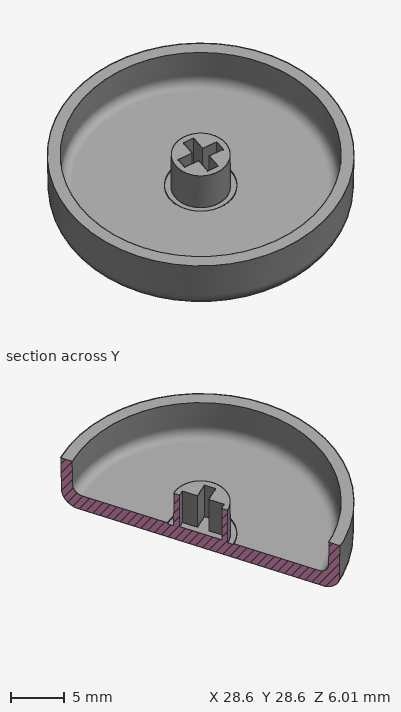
import cadquery as cq

rim_diameter = 28.65
bottom_diameter = 25.52
shoulder_diameter = 28.5
shoulder_height = 1.83
cap_height = 6.01
floor_thickness = 1.9
cavity_rim_diameter = 26.23
cavity_floor_diameter = 26.05
cavity_round = 1.0

stem_top_diameter = 5.5
stem_base_diameter = 5.58
groove_diameter = 6.75
groove_depth = 0.15

cross_length = 4.27
cross_width = 1.15

cavity_depth = cap_height - floor_thickness
groove_floor = floor_thickness - groove_depth


def cone(bottom_d, top_d, base_z, height):
    """Upright truncated cone on the Z axis."""
    return (
        cq.Workplane("XY")
        .workplane(offset=base_z)
        .circle(bottom_d / 2)
        .workplane(offset=height)
        .circle(top_d / 2)
        .loft(ruled=True)
    )


def cup():
    outside = (
        cq.Workplane("XZ")
        .moveTo(0, 0)
        .lineTo(0, cap_height)
        .lineTo(rim_diameter / 2, cap_height)
        .lineTo(shoulder_diameter / 2, shoulder_height)
        .tangentArcPoint((bottom_diameter / 2, 0), relative=False)
        .close()
        .revolve(360, (0, 0, 0), (0, 1, 0))
    )
    cavity = cone(cavity_floor_diameter, cavity_rim_diameter, floor_thickness, cavity_depth)
    cavity = cavity.faces("<Z").edges().fillet(cavity_round)
    return outside.cut(cavity)


def stem_groove():
    return (
        cq.Workplane("XY")
        .workplane(offset=groove_floor)
        .circle(groove_diameter / 2)
        .extrude(groove_depth)
    )


def stem():
    return cone(stem_base_diameter, stem_top_diameter, groove_floor, cap_height - groove_floor)


def cross_socket():
    top = cq.Workplane("XY").workplane(offset=cap_height)
    bar_x = top.rect(cross_length, cross_width).extrude(-cavity_depth)
    bar_y = top.rect(cross_width, cross_length).extrude(-cavity_depth)
    return bar_x.union(bar_y)


result = cup().cut(stem_groove()).union(stem()).cut(cross_socket())